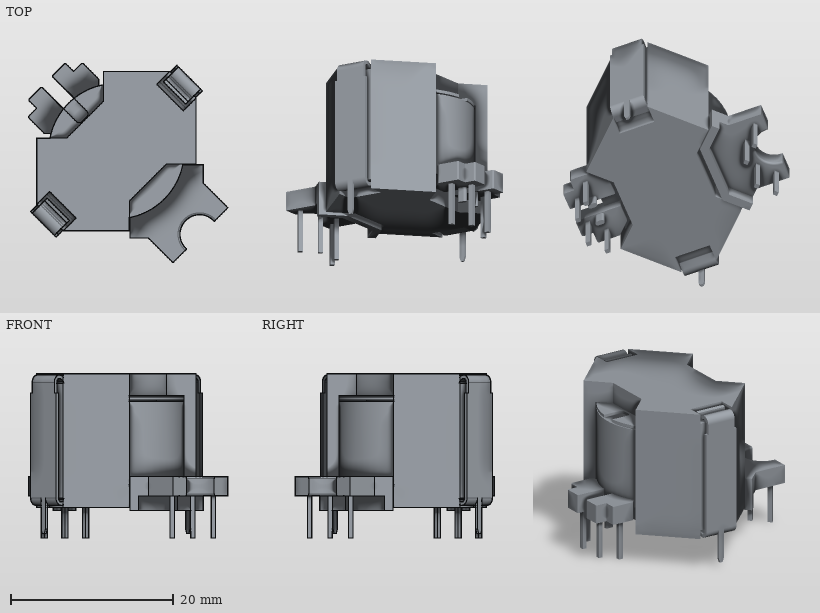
import cadquery as cq
import math

BOBBIN_TURN = -45
CLIP_TURNS = (45, 225)

CORE_SIDE = 19.65
CORE_HEIGHT = 16.5
CORNER_HALF_WIDTH = 2.3
NOTCH_SIDE = 1.6
NOTCH_CORNER = 6.14
WINDOW_RADIUS = 8.47
WINDOW_HEIGHT = 11.1
GROOVE_START = 9.33
GROOVE_FILLET = 0.47
GROOVE_DEPTH = 0.98
GROOVE_LIP_DROP = 0.2
GROOVE_BEND = 10.78

CLIP_THICKNESS = 0.45
CLIP_OUTER = 12.75
CLIP_HALF_WIDTH = 2.222
HOOK_HALF_WIDTH = 1.95
SHOULDER_Z = 5.9
HOOK_RADIUS = 0.9
HOOK_CENTRE_Z = 7.2
CURL_RADIUS = 0.3
CURL_CENTRE = 10.85
CURL_SINK = 0.05
CURL_END_ANGLE = 165
FOOT_RADIUS = 0.9
FOOT_CENTRE_Z = -7.05
FOOT_SWEEP = 105
FOOT_TAIL = 0.98
LEG_WIDTH = 0.75
LEG_THICKNESS = 0.32
LEG_TIP_WIDTH = 0.37
LEG_TIP_Z = -11.45
LEG_TAPER = 0.6

DRUM_RADIUS = 8.35
DRUM_HALF_HEIGHT = 5.4
FLANGE_THICKNESS = 0.37
FLANGE_GAP = 0.17
HUB_RADIUS = 4.9
PLATE_TOP = -4.42
PLATE_BOTTOM = -6.8
PLATE_INNER = 6.19
FOOT_BOTTOM = -8.6
SLOT_HALF_WIDTH = 0.9
SLOT_END = -5.57
SLOT_CORNER = 0.5
FRONT_END = 14.63
FRONT_HALF_WIDTH = 4.79
FRONT_EAR = (8.75, 6.38)
WALL_THICKNESS = 0.725
BAY_CENTRE = 14.48
BAY_RADIUS = 2.4
BAY_FILLET = 0.25
REAR_END = -12.15
REAR_STEP = (-10.68, 3.22)
REAR_HALF_WIDTH = 4.75
REAR_SHOULDER = -7.78
REAR_CORNER = 0.2
STUD_PLACE = (-9.03, 1.28)
STUD_RADIUS = 0.3
STUD_FLAT = 0.6
PIN_SIDE = 0.56
PIN_BOTTOM = -12.0
PIN_STEP = 1.8
FRONT_PIN_ROW = 11.51
REAR_PIN_ROW = -8.95


def prism(points, bottom, top):
    return cq.Workplane("XY").workplane(offset=bottom).polyline(points).close().extrude(top - bottom)


def upright(profile, half_width):
    return profile.close().extrude(half_width, both=True)


def mirrored_outline(points):
    return points + [(along, -across) for along, across in reversed(points)]


def turned(body, angle):
    return body.rotate((0, 0, 0), (0, 0, 1), angle)


def on_circle(centre, radius, angle):
    return (
        centre[0] + radius * math.cos(math.radians(angle)),
        centre[1] + radius * math.sin(math.radians(angle)),
    )


half_side = CORE_SIDE / 2
half_height = CORE_HEIGHT / 2
corner_face = half_side * math.sqrt(2) - CORNER_HALF_WIDTH
corner_cut = half_side - CORNER_HALF_WIDTH * math.sqrt(2)
groove_floor = half_height - GROOVE_DEPTH


def core_block():
    half = [
        (NOTCH_SIDE, -half_side),
        (NOTCH_SIDE, -NOTCH_CORNER),
        (NOTCH_CORNER, -NOTCH_SIDE),
        (half_side, -NOTCH_SIDE),
        (half_side, corner_cut),
        (corner_cut, half_side),
    ]
    block = prism(half + [(-x, -y) for x, y in half], -half_height, half_height)
    window = cq.Workplane("XY").circle(WINDOW_RADIUS).extrude(WINDOW_HEIGHT / 2, both=True)
    return block.cut(window)


def clip_groove():
    """Groove for one clip end, in the top face of the core."""
    fillet_centre = (GROOVE_START + GROOVE_FILLET, groove_floor + GROOVE_FILLET)
    profile = (
        cq.Workplane("XZ")
        .moveTo(GROOVE_START, half_height)
        .lineTo(GROOVE_START, fillet_centre[1])
        .threePointArc(on_circle(fillet_centre, GROOVE_FILLET, 225), (fillet_centre[0], groove_floor))
        .lineTo(GROOVE_BEND, groove_floor)
        .lineTo(corner_face, groove_floor - GROOVE_LIP_DROP)
        .lineTo(corner_face, half_height)
    )
    return upright(profile, CORNER_HALF_WIDTH)


clip_inner = CLIP_OUTER - CLIP_THICKNESS
hook_inner_radius = HOOK_RADIUS - CLIP_THICKNESS
curl_outer_radius = CURL_RADIUS + CLIP_THICKNESS


def clip_hook():
    """Upper end: over the top, down into the groove and up again."""
    hook_centre = (CLIP_OUTER - HOOK_RADIUS, HOOK_CENTRE_Z)
    curl_centre = (CURL_CENTRE, groove_floor - CURL_SINK + curl_outer_radius)
    reach = curl_centre[0] - hook_centre[0]
    rise = curl_centre[1] - hook_centre[1]
    cross = math.acos((HOOK_RADIUS + CURL_RADIUS) / math.hypot(reach, rise))
    hook_end = math.degrees(math.atan2(rise, reach) - cross)
    curl_start = hook_end + 180
    curl_middle = (curl_start + CURL_END_ANGLE) / 2
    profile = (
        cq.Workplane("XZ")
        .moveTo(CLIP_OUTER, SHOULDER_Z)
        .lineTo(CLIP_OUTER, HOOK_CENTRE_Z)
        .threePointArc(
            on_circle(hook_centre, HOOK_RADIUS, hook_end / 2), on_circle(hook_centre, HOOK_RADIUS, hook_end)
        )
        .lineTo(*on_circle(curl_centre, CURL_RADIUS, curl_start))
        .threePointArc(
            on_circle(curl_centre, CURL_RADIUS, curl_middle),
            on_circle(curl_centre, CURL_RADIUS, CURL_END_ANGLE),
        )
        .lineTo(*on_circle(curl_centre, curl_outer_radius, CURL_END_ANGLE))
        .threePointArc(
            on_circle(curl_centre, curl_outer_radius, curl_middle),
            on_circle(curl_centre, curl_outer_radius, curl_start),
        )
        .lineTo(*on_circle(hook_centre, hook_inner_radius, hook_end))
        .threePointArc(
            on_circle(hook_centre, hook_inner_radius, hook_end / 2), (clip_inner, HOOK_CENTRE_Z)
        )
        .lineTo(clip_inner, SHOULDER_Z)
    )
    return upright(profile, HOOK_HALF_WIDTH)


def clip_plate():
    """Flat plate with its lower end bent inwards under the core."""
    centre = (CLIP_OUTER - FOOT_RADIUS, FOOT_CENTRE_Z)
    inner_radius = FOOT_RADIUS - CLIP_THICKNESS
    tail = on_circle((0, 0), FOOT_TAIL, -FOOT_SWEEP - 90)
    outer_end = on_circle(centre, FOOT_RADIUS, -FOOT_SWEEP)
    inner_end = on_circle(centre, inner_radius, -FOOT_SWEEP)
    profile = (
        cq.Workplane("XZ")
        .moveTo(CLIP_OUTER, SHOULDER_Z)
        .lineTo(CLIP_OUTER, FOOT_CENTRE_Z)
        .threePointArc(on_circle(centre, FOOT_RADIUS, -FOOT_SWEEP / 2), outer_end)
        .lineTo(outer_end[0] + tail[0], outer_end[1] + tail[1])
        .lineTo(inner_end[0] + tail[0], inner_end[1] + tail[1])
        .lineTo(*inner_end)
        .threePointArc(on_circle(centre, inner_radius, -FOOT_SWEEP / 2), (clip_inner, FOOT_CENTRE_Z))
        .lineTo(clip_inner, SHOULDER_Z)
    )
    return upright(profile, CLIP_HALF_WIDTH)


def clip_leg():
    """Pointed solder leg below the plate."""
    taper_z = LEG_TIP_Z + LEG_TAPER
    return (
        cq.Workplane("YZ")
        .workplane(offset=CLIP_OUTER - LEG_THICKNESS)
        .polyline(
            [
                (-LEG_WIDTH / 2, FOOT_CENTRE_Z),
                (-LEG_WIDTH / 2, taper_z),
                (-LEG_TIP_WIDTH / 2, LEG_TIP_Z),
                (LEG_TIP_WIDTH / 2, LEG_TIP_Z),
                (LEG_WIDTH / 2, taper_z),
                (LEG_WIDTH / 2, FOOT_CENTRE_Z),
            ]
        )
        .close()
        .extrude(LEG_THICKNESS)
    )


def clip():
    return clip_plate().union(clip_hook()).union(clip_leg())


def core_with_clips():
    core = core_block()
    for turn in CLIP_TURNS:
        groove = clip_groove()
        core = core.cut(turned(groove, turn)).cut(turned(groove.mirror("XY"), turn))
    for turn in CLIP_TURNS:
        core = core.union(turned(clip(), turn))
    return core.solids()


def drum():
    """Winding and upper flange, with a thin gap between them."""
    winding_top = DRUM_HALF_HEIGHT - FLANGE_THICKNESS - FLANGE_GAP
    body = cq.Workplane("XY").circle(DRUM_RADIUS).extrude(DRUM_HALF_HEIGHT, both=True)
    gap = (
        cq.Workplane("XY")
        .workplane(offset=winding_top)
        .circle(DRUM_RADIUS)
        .circle(HUB_RADIUS)
        .extrude(FLANGE_GAP)
    )
    slot_length = DRUM_RADIUS + SLOT_END
    slot = (
        cq.Workplane("XY")
        .workplane(offset=DRUM_HALF_HEIGHT - FLANGE_THICKNESS)
        .center(SLOT_END - slot_length / 2, 0)
        .rect(slot_length, 2 * SLOT_HALF_WIDTH)
        .extrude(FLANGE_THICKNESS)
        .edges("|Z and >X")
        .fillet(SLOT_CORNER)
    )
    return body.cut(gap).cut(slot)


def front_plate():
    """Plate with a round bay in its end, on an angled wall that reaches below the core."""
    ear_along, ear_across = FRONT_EAR
    inner_corner = (PLATE_INNER, ear_across - ear_along + PLATE_INNER)
    plate = prism(
        mirrored_outline(
            [
                inner_corner,
                FRONT_EAR,
                (ear_along + ear_across - FRONT_HALF_WIDTH, FRONT_HALF_WIDTH),
                (FRONT_END, FRONT_HALF_WIDTH),
            ]
        ),
        PLATE_BOTTOM,
        PLATE_TOP,
    )
    bay = cq.Workplane("XY").workplane(offset=PLATE_BOTTOM).center(BAY_CENTRE, 0).circle(BAY_RADIUS)
    plate = plate.cut(bay.extrude(PLATE_TOP - PLATE_BOTTOM))
    plate = plate.edges("%CIRCLE").fillet(BAY_FILLET)

    back_face = PLATE_INNER + math.sqrt(2) * WALL_THICKNESS
    wall = prism(
        mirrored_outline(
            [
                inner_corner,
                FRONT_EAR,
                (ear_along + WALL_THICKNESS, ear_across - WALL_THICKNESS),
                (back_face, ear_across - ear_along - 2 * WALL_THICKNESS + back_face),
            ]
        ),
        FOOT_BOTTOM,
        PLATE_BOTTOM,
    )
    return plate.union(wall)


def rear_arm(side):
    """One stepped arm of the rear plate with its stud; side is +1 or -1."""
    step_along, step_across = REAR_STEP
    root_across = REAR_HALF_WIDTH + REAR_SHOULDER + PLATE_INNER
    outline = [
        (-PLATE_INNER, SLOT_HALF_WIDTH),
        (REAR_END, SLOT_HALF_WIDTH),
        (REAR_END, step_across),
        (step_along, step_across),
        (step_along, REAR_HALF_WIDTH),
        (REAR_SHOULDER, REAR_HALF_WIDTH),
        (-PLATE_INNER, root_across),
    ]
    arm = prism([(along, side * across) for along, across in outline], PLATE_BOTTOM, PLATE_TOP)
    step_corner = cq.selectors.NearestToPointSelector((step_along, side * REAR_HALF_WIDTH, PLATE_TOP))
    arm = arm.edges("|Z and <X").fillet(REAR_CORNER)
    arm = arm.edges("|Z").edges(step_corner).fillet(REAR_CORNER)
    stud = (
        cq.Workplane("XY")
        .workplane(offset=FOOT_BOTTOM)
        .center(STUD_PLACE[0], side * STUD_PLACE[1])
        .slot2D(STUD_FLAT + 2 * STUD_RADIUS, 2 * STUD_RADIUS)
        .extrude(PLATE_BOTTOM - FOOT_BOTTOM)
    )
    return arm.union(stud)


def pin(along, across, turn):
    square = cq.Workplane("XY").workplane(offset=PIN_BOTTOM).rect(PIN_SIDE, PIN_SIDE)
    body = turned(square.extrude(PLATE_BOTTOM - PIN_BOTTOM), turn)
    return body.translate((along, across, 0))


def bobbin_with_pins():
    bobbin = drum().union(front_plate())
    for side in (1, -1):
        bobbin = bobbin.union(rear_arm(side))
        for step in (1, 2):
            across = side * step * PIN_STEP
            front_along = FRONT_PIN_ROW + (step - 1) * PIN_STEP
            rear_along = REAR_PIN_ROW + (step - 2) * PIN_STEP
            bobbin = bobbin.union(pin(front_along, across, BOBBIN_TURN))
            bobbin = bobbin.union(pin(rear_along, across, 0))
    return turned(bobbin, BOBBIN_TURN).solids()


core = core_with_clips()
bobbin = bobbin_with_pins()
result = cq.Compound.makeCompound([core.val(), bobbin.val()])